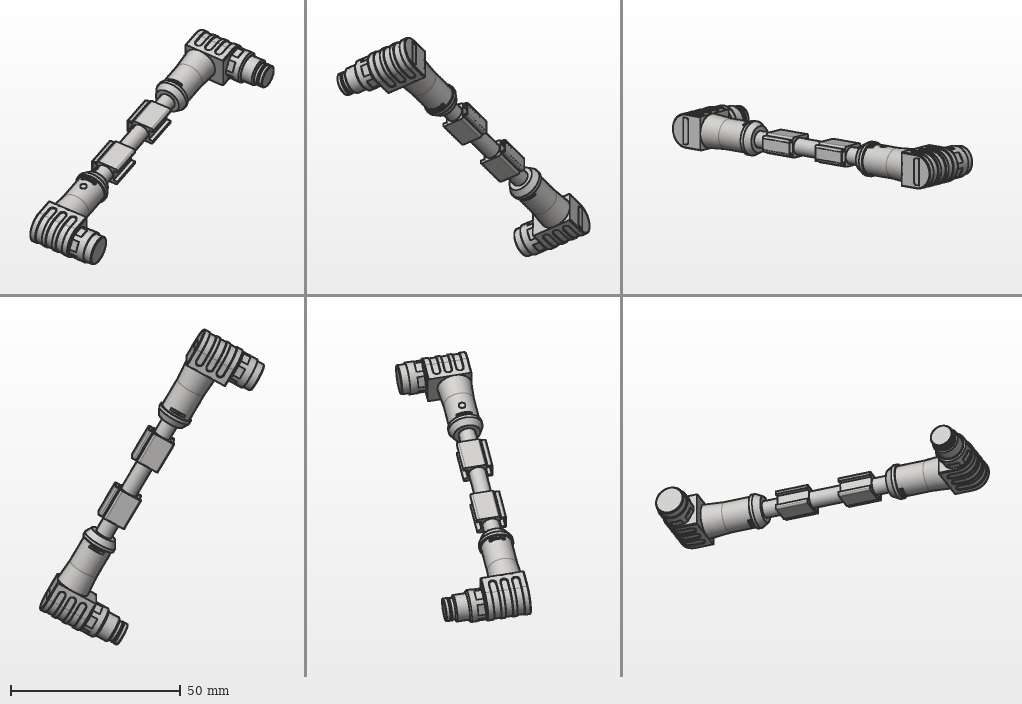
import cadquery as cq
import math

OVERALL_LENGTH = 98.6
OVERALL_WIDTH = 25.2
CABLE_DIA = 5.1

HEAD_DIA = 10.3
HEAD_RADIUS = HEAD_DIA / 2
HEAD_WIDTH = 13.15
HEAD_LENGTH = 10.8
HEAD_CHAMFER = 0.25
HEAD_LEFT = -HEAD_RADIUS
HEAD_RIGHT = HEAD_LEFT + HEAD_WIDTH
MATING_AXIS_Y = OVERALL_LENGTH / 2 - HEAD_RADIUS
HEAD_INNER_Y = OVERALL_LENGTH / 2 - HEAD_LENGTH

GROOVE_COUNT = 3
GROOVE_LENGTH = 9.3
GROOVE_WIDTH = 2.35
GROOVE_PITCH = 3.5
GROOVE_FIRST_OFFSET = 3.0
GROOVE_FIRST_X = HEAD_LEFT + GROOVE_FIRST_OFFSET
GROOVE_END_Y = OVERALL_LENGTH / 2 - GROOVE_LENGTH
GROOVE_DEPTH = 0.25
GROOVE_BEVEL = 0.2

PANEL_WIDTH = 1.9
PANEL_HEIGHT = 8.1
PANEL_CORNER = 0.8
PANEL_DEPTH = 0.1

SLEEVE_DIA = 9.3
TAPER_LENGTH = 6.45
TAPER_END_Y = HEAD_INNER_Y - TAPER_LENGTH
RIM_START_Y = 23.2
RIM_END_Y = 22.15
SLEEVE_END_Y = 20.0
SLEEVE_END_DIA = 8.0
SLEEVE_SLOT_Y = 24.25
SLEEVE_SLOT_WIDTH = 0.75
SLEEVE_SLOT_HALF_GAP = 4.0
INDICATOR_DIA = 2.0
INDICATOR_Y = 27.35
INDICATOR_DEPTH = 0.2

NECK_DIA = 6.5
NUT_DIA = 9.6
NUT_START_X = 8.4
NUT_END_X = 13.1
NUT_CHAMFER = 0.5
HEX_ACROSS_FLATS = 9.0
HEX_END_X = 10.65

FEMALE_DIA = 8.8
FEMALE_END_X = 15.65
FEMALE_CHAMFER = 0.25

MALE_DIA = 8.0
MALE_SHOULDER_X = 17.2
MALE_SHOULDER_CHAMFER = 0.45
MALE_RING_DIA = 6.9
MALE_RING_X = 18.2
MALE_RING_CHAMFER = 0.2
MALE_END_X = HEAD_LEFT + OVERALL_WIDTH
RING_GROOVE_DIA = 6.6
RING_GROOVE_X = 18.65
RING_GROOVE_WIDTH = 0.35

CLIP_LENGTH = 10.0
CLIP_CENTER_Y = 10.0
CLIP_HALF_HEIGHT = 3.1
CLIP_CORE_HALF_WIDTH = 2.85
CLIP_LIP_X = 4.15
CLIP_LIP_THICKNESS = 1.25
CLIP_FILLET = 0.6
LABEL_LEFT = -4.65
LABEL_RIGHT = -3.2
LABEL_HEIGHT = 4.8
LABEL_FILLET = 0.55
LABEL_WEB_HEIGHT = 4.0
LABEL_WINDOW_HEIGHT = 3.4
LABEL_WALL = 0.35


def box(x0, x1, y0, y1, z0, z1):
    """Box between the given limits."""
    return cq.Workplane("XY").box(x1 - x0, y1 - y0, z1 - z0, centered=False).translate((x0, y0, z0))


def cylinder_x(diameter, x0, x1):
    """Cylinder on the mating axis, from x0 to x1."""
    return (
        cq.Workplane("YZ", origin=(x0, MATING_AXIS_Y, 0))
        .circle(diameter / 2)
        .extrude(x1 - x0)
    )


def head_blank(inset):
    """Head outline shrunk by the inset on its round end and its flat sides."""
    radius = HEAD_RADIUS - inset
    return (
        cq.Workplane("YZ", origin=(HEAD_LEFT, 0, 0))
        .moveTo(HEAD_INNER_Y, -radius)
        .lineTo(MATING_AXIS_Y, -radius)
        .threePointArc((MATING_AXIS_Y + radius, 0), (MATING_AXIS_Y, radius))
        .lineTo(HEAD_INNER_Y, radius)
        .close()
        .extrude(HEAD_WIDTH)
    )


def groove_cutter():
    """Bands with rounded ends and beveled floors, filling the grip grooves."""
    skin = head_blank(0).cut(head_blank(GROOVE_DEPTH))
    floor_radius = HEAD_RADIUS - GROOVE_DEPTH / 2
    floor_region = cq.selectors.BoxSelector(
        (HEAD_LEFT, HEAD_INNER_Y, -floor_radius),
        (HEAD_RIGHT, MATING_AXIS_Y + floor_radius, floor_radius),
        boundingbox=True,
    )
    radius = GROOVE_WIDTH / 2
    outer_y = OVERALL_LENGTH / 2 + HEAD_RADIUS
    bands = cq.Workplane("XY")
    for index in range(GROOVE_COUNT):
        x = GROOVE_FIRST_X + index * GROOVE_PITCH
        band = (
            cq.Workplane("XY")
            .moveTo(x - radius, outer_y)
            .lineTo(x - radius, GROOVE_END_Y + radius)
            .threePointArc((x, GROOVE_END_Y), (x + radius, GROOVE_END_Y + radius))
            .lineTo(x + radius, outer_y)
            .close()
            .extrude(HEAD_DIA, both=True)
        )
        bands = bands.add(band.intersect(skin).edges(floor_region).chamfer(GROOVE_BEVEL))
    return bands.combine()


def make_head():
    """Grooved head with a shallow panel in its closed end face."""
    head = head_blank(0).faces("<X or >X").edges("not <Y").chamfer(HEAD_CHAMFER)
    head = head.cut(groove_cutter())
    panel = (
        cq.Workplane("YZ", origin=(HEAD_LEFT, MATING_AXIS_Y, 0))
        .rect(PANEL_WIDTH, PANEL_HEIGHT)
        .extrude(PANEL_DEPTH)
        .edges("|X and <Y")
        .fillet(PANEL_CORNER)
    )
    return head.cut(panel)


def make_sleeve():
    """Tapered cable sleeve with a rim, a conical end and two cross slots."""
    head_r = HEAD_RADIUS
    sleeve_r = SLEEVE_DIA / 2
    end_r = SLEEVE_END_DIA / 2
    sleeve = (
        cq.Workplane("XY")
        .moveTo(0, HEAD_INNER_Y)
        .lineTo(head_r, HEAD_INNER_Y)
        .lineTo(sleeve_r, TAPER_END_Y)
        .lineTo(sleeve_r, RIM_START_Y)
        .lineTo(head_r, RIM_START_Y)
        .lineTo(head_r, RIM_END_Y)
        .lineTo(end_r, SLEEVE_END_Y)
        .lineTo(0, SLEEVE_END_Y)
        .close()
        .revolve(360, (0, 0, 0), (0, 1, 0))
    )
    y0 = SLEEVE_SLOT_Y - SLEEVE_SLOT_WIDTH / 2
    y1 = SLEEVE_SLOT_Y + SLEEVE_SLOT_WIDTH / 2
    slot = box(-sleeve_r, sleeve_r, y0, y1, SLEEVE_SLOT_HALF_GAP, head_r)
    return sleeve.cut(slot).cut(slot.mirror("XY"))


def make_nut():
    """Neck and coupling nut with six wrench flats at the head side."""
    neck = cylinder_x(NECK_DIA, HEAD_RIGHT, NUT_START_X)
    nut = cylinder_x(NUT_DIA, NUT_START_X, NUT_END_X)
    hexagon = (
        cq.Workplane("YZ", origin=(NUT_START_X, MATING_AXIS_Y, 0))
        .polygon(6, HEX_ACROSS_FLATS / math.cos(math.pi / 6))
        .extrude(HEX_END_X - NUT_START_X)
    )
    around_hexagon = cylinder_x(2 * NUT_DIA, NUT_START_X, HEX_END_X).cut(hexagon)
    return neck, nut.cut(around_hexagon)


def make_connector():
    """Parts shared by both connectors: head, sleeve and neck, plus the separate nut."""
    neck, nut = make_nut()
    return make_head().union(make_sleeve()).union(neck), nut


def make_male_end():
    """Stepped plug with a grooved ring at its tip."""
    shoulder = cylinder_x(MALE_DIA, NUT_END_X, MALE_SHOULDER_X).faces(">X").chamfer(MALE_SHOULDER_CHAMFER)
    neck = cylinder_x(NECK_DIA, MALE_SHOULDER_X, MALE_RING_X)
    ring = cylinder_x(MALE_RING_DIA, MALE_RING_X, MALE_END_X).faces(">X").chamfer(MALE_RING_CHAMFER)
    groove_x0 = RING_GROOVE_X - RING_GROOVE_WIDTH / 2
    groove_x1 = RING_GROOVE_X + RING_GROOVE_WIDTH / 2
    groove_core = cylinder_x(RING_GROOVE_DIA, groove_x0, groove_x1)
    groove = cylinder_x(MALE_DIA, groove_x0, groove_x1).cut(groove_core)
    return shoulder.union(neck).union(ring.cut(groove))


def make_male_connector():
    """Connector with the plug, at the +Y end."""
    body, nut = make_connector()
    nut = nut.faces(">X").chamfer(NUT_CHAMFER)
    return body.union(nut).union(make_male_end())


def make_female_connector():
    """Connector with the plain socket end and the indicator, at the -Y end."""
    body, nut = make_connector()
    socket = cylinder_x(FEMALE_DIA, NUT_END_X, FEMALE_END_X).faces(">X").chamfer(FEMALE_CHAMFER)
    indicator = (
        cq.Workplane("XY", origin=(0, INDICATOR_Y, SLEEVE_DIA / 2 - INDICATOR_DEPTH))
        .circle(INDICATOR_DIA / 2)
        .extrude(SLEEVE_DIA)
    )
    return body.cut(indicator).union(nut).union(socket).mirror("XZ")


def make_clip(center_y):
    """Label clip around the cable: core, two lips towards +X and a hollow label holder on -X."""
    y0 = center_y - CLIP_LENGTH / 2
    y1 = center_y + CLIP_LENGTH / 2
    lip_z = CLIP_HALF_HEIGHT - CLIP_LIP_THICKNESS
    clip = box(-CLIP_CORE_HALF_WIDTH, CLIP_LIP_X, y0, y1, -CLIP_HALF_HEIGHT, CLIP_HALF_HEIGHT)
    clip = clip.edges("|Y").fillet(CLIP_FILLET)
    clip = clip.cut(box(CLIP_CORE_HALF_WIDTH, CLIP_LIP_X, y0, y1, -lip_z, lip_z))
    web = box(LABEL_RIGHT, -CLIP_CORE_HALF_WIDTH, y0, y1, -LABEL_WEB_HEIGHT / 2, LABEL_WEB_HEIGHT / 2)
    label = box(LABEL_LEFT, LABEL_RIGHT, y0, y1, -LABEL_HEIGHT / 2, LABEL_HEIGHT / 2)
    label = label.edges("|Y and <X").fillet(LABEL_FILLET)
    window_x0 = LABEL_LEFT + LABEL_WALL
    window = box(window_x0, -CLIP_CORE_HALF_WIDTH, y0, y1, -LABEL_WINDOW_HEIGHT / 2, LABEL_WINDOW_HEIGHT / 2)
    return clip.union(label.union(web).cut(window))


def make_cable():
    """Round cable between the two sleeves."""
    return (
        cq.Workplane("XZ", origin=(0, SLEEVE_END_Y, 0))
        .circle(CABLE_DIA / 2)
        .extrude(2 * SLEEVE_END_Y)
    )


result = make_cable()
for side in (-1, 1):
    result = result.union(make_clip(side * CLIP_CENTER_Y))
result = result.union(make_male_connector()).union(make_female_connector())